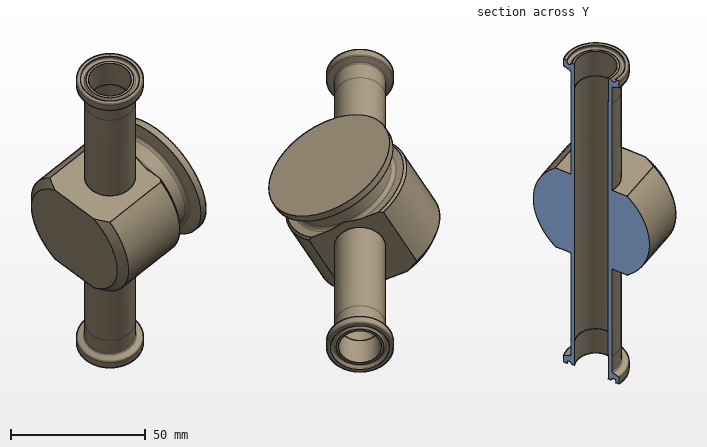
import cadquery as cq
import math

run_length = 152.17
port_face_y = 25.4
front_face_y = -19.05

clamp_angle = 20.0

port_rim_radius = 50.39 / 2
port_rim_thickness = 2.85
port_neck_radius = 39.7 / 2
port_root_fillet = 1.5

body_radius = port_rim_radius
body_back_y = 12.2
flat_half_height = port_neck_radius
front_chamfer = 3.0
back_chamfer = 0.9
neck_body_fillet = 1.4

pipe_radius = 19.05 / 2
pipe_bore_radius = 15.75 / 2
end_length = 12.7
end_rim_radius = 24.99 / 2
end_rim_thickness = 3.65
end_face_edge_fillet = 0.4
end_rim_edge_fillet = 0.5
end_root_fillet = 0.5
end_bore_radius = 15.88 / 2

groove_outer_radius = 21.89 / 2
groove_wall_depth = 0.8
groove_bottom_radius = 0.8
groove_inner_slope = 40.0
land_recess = 0.5

pick_margin = 0.05


def edge_ring(radius, z):
    """Selector for the circular edge of this radius centred on Z at height z."""
    outer = radius + pick_margin
    return cq.selectors.BoxSelector(
        (-outer, -outer, z - pick_margin),
        (outer, outer, z + pick_margin),
        boundingbox=True,
    )


def clamp_ferrule(rim_radius, rim_thickness, neck_radius, root_fillet, length):
    """Solid clamp ferrule along Z: sealing face at z = 0, neck running down to -length."""
    cone_height = (rim_radius - neck_radius) * math.tan(math.radians(clamp_angle))
    root_z = -(rim_thickness + cone_height)
    ferrule = (
        cq.Workplane("XZ")
        .moveTo(0, 0)
        .lineTo(rim_radius, 0)
        .lineTo(rim_radius, -rim_thickness)
        .lineTo(neck_radius, root_z)
        .lineTo(neck_radius, -length)
        .lineTo(0, -length)
        .close()
        .revolve(360, (0, 0, 0), (0, 1, 0))
    )
    return ferrule.edges(edge_ring(neck_radius, root_z)).fillet(root_fillet)


def gasket_groove():
    """Cutter for the gasket groove and the recessed land, sunk from the face at z = 0."""
    slope = math.radians(groove_inner_slope)
    arc_centre = groove_outer_radius - groove_bottom_radius
    arc_end_radius = arc_centre - groove_bottom_radius * math.cos(slope)
    arc_end_depth = groove_wall_depth + groove_bottom_radius * math.sin(slope)
    inner_edge_radius = arc_end_radius - (arc_end_depth - land_recess) * math.tan(slope)
    return (
        cq.Workplane("XZ")
        .moveTo(groove_outer_radius, 0)
        .lineTo(groove_outer_radius, -groove_wall_depth)
        .threePointArc(
            (arc_centre, -groove_wall_depth - groove_bottom_radius),
            (arc_end_radius, -arc_end_depth),
        )
        .lineTo(inner_edge_radius, -land_recess)
        .lineTo(0, -land_recess)
        .lineTo(0, 0)
        .close()
        .revolve(360, (0, 0, 0), (0, 1, 0))
    )


def end_ferrule():
    """Bored and grooved ferrule for the upper end of the run, sealing face at z = 0."""
    ferrule = clamp_ferrule(
        end_rim_radius, end_rim_thickness, pipe_radius, end_root_fillet, end_length
    )
    ferrule = ferrule.edges(edge_ring(end_rim_radius, -end_rim_thickness)).fillet(end_rim_edge_fillet)
    ferrule = ferrule.edges(edge_ring(end_rim_radius, 0)).fillet(end_face_edge_fillet)
    bore = cq.Workplane("XY").circle(end_bore_radius).extrude(-end_length)
    return ferrule.cut(bore).cut(gasket_groove())


def body_with_port():
    """Body and port ferrule, built along Z with the port face up, then turned to face +Y."""
    ferrule = clamp_ferrule(
        port_rim_radius,
        port_rim_thickness,
        port_neck_radius,
        port_root_fillet,
        port_face_y - body_back_y,
    ).translate((0, 0, port_face_y))

    body_length = body_back_y - front_face_y
    body = cq.Workplane("XY").workplane(offset=front_face_y).circle(body_radius).extrude(body_length)
    body = body.faces("<Z").chamfer(front_chamfer)
    body = body.faces(">Z").chamfer(back_chamfer)

    joined = body.union(ferrule)
    joined = joined.edges(edge_ring(port_neck_radius, body_back_y)).fillet(neck_body_fillet)
    joined = joined.rotate((0, 0, 0), (1, 0, 0), -90)
    return joined.cut(flat_cutters())


def flat_cutters():
    """Blocks that mill the top and bottom flats over the body and its neck fillet."""
    cut_depth = body_radius - flat_half_height
    cut_length = body_back_y + neck_body_fillet - front_face_y
    upper = cq.Workplane("XY").box(
        2 * body_radius, cut_length, cut_depth, centered=(True, False, False)
    ).translate((0, front_face_y, flat_half_height))
    return upper.union(upper.mirror("XY"))


def run_pipe():
    """Pipe between the two end ferrules."""
    pipe_length = run_length - 2 * end_length
    return cq.Workplane("XY").circle(pipe_radius).extrude(pipe_length / 2, both=True)


def run_bore():
    """Bore through the pipe and the body."""
    bore_length = run_length - 2 * end_length
    return cq.Workplane("XY").circle(pipe_bore_radius).extrude(bore_length / 2, both=True)


upper_end = end_ferrule().translate((0, 0, run_length / 2))
lower_end = upper_end.mirror("XY")

result = body_with_port().union(run_pipe()).cut(run_bore())
result = result.union(upper_end, clean=False).union(lower_end, clean=False)